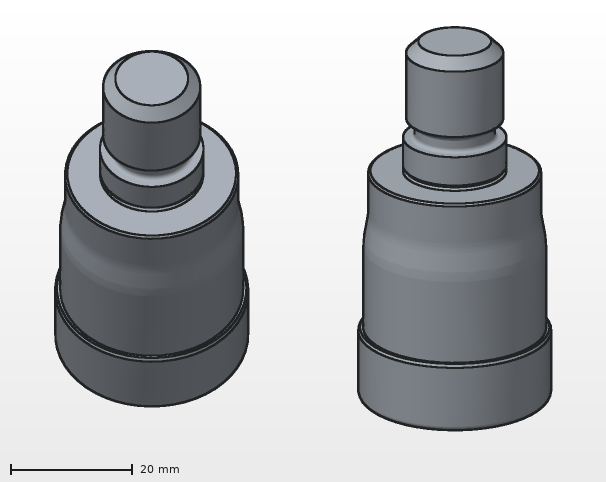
import cadquery as cq
import math

BASE_RADIUS = 15.9
BASE_HEIGHT = 12.05
BASE_BOTTOM_FILLET = 0.95
RIM_CHAMFER_WIDTH = 0.3
RIM_CHAMFER_HEIGHT = 0.55
BARREL_RADIUS = 15.05
SHOULDER_RADIUS = 14.25
HOUSING_HEIGHT = 39.95
HOUSING_TOP_CHAMFER = 0.4

BARREL_TOP = 26.4
SHOULDER_BOTTOM = 32.9
BLEND_HEIGHT = 1.7

TOTAL_HEIGHT = 63.0
COLLAR_RADIUS = 8.5
COLLAR_TOP = 45.9
FOOT_RADIUS = 8.05
COLLAR_BOTTOM = 40.9
NECK_RADIUS = 6.6
NECK_FILLET = 0.75
UNDERCUT_RISE = 1.1
UNDERCUT_FILLET = 0.5
SHANK_RADIUS = 8.0
SHANK_BOTTOM = 49.3
SHANK_CHAMFER = 2.0

ARC_MIDPOINT = 1 - math.sqrt(0.5)


def revolve_profile(profile):
    """Close a radius-height profile and turn it about the Z axis."""
    return profile.close().revolve(360, (0, 0, 0), (0, 1, 0))


def make_housing():
    taper_rise = SHOULDER_BOTTOM - BARREL_TOP
    taper_run = BARREL_RADIUS - SHOULDER_RADIUS
    taper_angle = math.atan(taper_run / (taper_rise - BLEND_HEIGHT))
    blend_radius = BLEND_HEIGHT / math.sin(taper_angle)
    blend_run = blend_radius * (1 - math.cos(taper_angle))
    mid_run = blend_radius * (1 - math.cos(taper_angle / 2))
    mid_rise = blend_radius * math.sin(taper_angle / 2)

    profile = (
        cq.Workplane("XZ")
        .moveTo(0, 0)
        .lineTo(BASE_RADIUS, 0)
        .lineTo(BASE_RADIUS, BASE_HEIGHT - RIM_CHAMFER_HEIGHT)
        .lineTo(BASE_RADIUS - RIM_CHAMFER_WIDTH, BASE_HEIGHT)
        .lineTo(BARREL_RADIUS, BASE_HEIGHT)
        .lineTo(BARREL_RADIUS, BARREL_TOP)
        .threePointArc(
            (BARREL_RADIUS - mid_run, BARREL_TOP + mid_rise),
            (BARREL_RADIUS - blend_run, BARREL_TOP + BLEND_HEIGHT),
        )
        .lineTo(SHOULDER_RADIUS + blend_run, SHOULDER_BOTTOM - BLEND_HEIGHT)
        .threePointArc(
            (SHOULDER_RADIUS + mid_run, SHOULDER_BOTTOM - mid_rise),
            (SHOULDER_RADIUS, SHOULDER_BOTTOM),
        )
        .lineTo(SHOULDER_RADIUS, HOUSING_HEIGHT)
        .lineTo(0, HOUSING_HEIGHT)
    )
    housing = revolve_profile(profile)
    housing = housing.faces("<Z").edges().fillet(BASE_BOTTOM_FILLET)
    return housing.faces(">Z").edges().chamfer(HOUSING_TOP_CHAMFER)


def make_stud():
    foot_rise = COLLAR_RADIUS - FOOT_RADIUS
    foot_offset = foot_rise * ARC_MIDPOINT
    neck_top = SHANK_BOTTOM - UNDERCUT_RISE
    flare_offset = NECK_FILLET * ARC_MIDPOINT
    profile = (
        cq.Workplane("XZ")
        .moveTo(0, HOUSING_HEIGHT)
        .lineTo(COLLAR_RADIUS, HOUSING_HEIGHT)
        .threePointArc(
            (FOOT_RADIUS + foot_offset, HOUSING_HEIGHT + foot_offset),
            (FOOT_RADIUS, HOUSING_HEIGHT + foot_rise),
        )
        .lineTo(COLLAR_RADIUS, COLLAR_BOTTOM)
        .lineTo(COLLAR_RADIUS, COLLAR_TOP)
        .lineTo(NECK_RADIUS + NECK_FILLET, COLLAR_TOP)
        .threePointArc(
            (NECK_RADIUS + flare_offset, COLLAR_TOP + flare_offset),
            (NECK_RADIUS, COLLAR_TOP + NECK_FILLET),
        )
        .lineTo(NECK_RADIUS, neck_top)
        .lineTo(SHANK_RADIUS, SHANK_BOTTOM)
        .lineTo(SHANK_RADIUS, TOTAL_HEIGHT - SHANK_CHAMFER)
        .lineTo(SHANK_RADIUS - SHANK_CHAMFER, TOTAL_HEIGHT)
        .lineTo(0, TOTAL_HEIGHT)
    )
    stud = revolve_profile(profile)
    undercut_corner = cq.selectors.NearestToPointSelector((0, 0, neck_top))
    return stud.edges("%CIRCLE").edges(undercut_corner).fillet(UNDERCUT_FILLET)


housing = make_housing()
stud = make_stud()
result = cq.Compound.makeCompound([housing.val(), stud.val()])